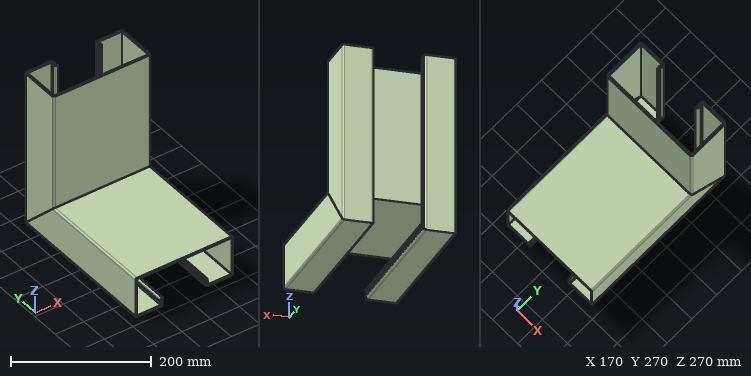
import math

import cadquery as cq

WIDTH = 170.0
DEPTH = 70.0
WALL = 2.5
CORNER_RADIUS = 3.0

ARM_REACH = 200.0
ARM_LENGTH = DEPTH + ARM_REACH

FLANGE_WIDTH = 47.0
LIP_WALL = 2.2
LIP_HEIGHT = 14.5
STEP_FRONT = 8.0
STEP_BACK = 7.0
LEG_LEAN = math.radians(7)
HOOK_REACH = 0.75
BEND_INNER = 0.8
BEND_OUTER = BEND_INNER + LIP_WALL
BEND_LEVEL = LIP_HEIGHT - BEND_OUTER

HALF_WIDTH = WIDTH / 2
SLOT_HALF = HALF_WIDTH - FLANGE_WIDTH


def leg_face(bend_radius, foot_level):
    """Foot and bend end of a leaning leg face that runs tangent into a bend centred above the slot face."""
    bend_end_x = SLOT_HALF + bend_radius * math.cos(LEG_LEAN)
    bend_end_z = BEND_LEVEL + bend_radius * math.sin(LEG_LEAN)
    foot_x = bend_end_x + (bend_end_z - foot_level) * math.tan(LEG_LEAN)
    return (foot_x, foot_level), (bend_end_x, bend_end_z)


def half_channel():
    """Bent-sheet section of the +X half of the channel, extruded along -Y."""
    inside = HALF_WIDTH - WALL
    web_back = SLOT_HALF + WALL
    hook_tip = SLOT_HALF - HOOK_REACH
    front_foot, front_bend = leg_face(BEND_INNER, STEP_FRONT)
    back_foot, back_bend = leg_face(BEND_OUTER, STEP_BACK)

    section = cq.Workplane("XZ").moveTo(0, DEPTH)
    section = (
        section
        .lineTo(HALF_WIDTH - CORNER_RADIUS, DEPTH)
        .radiusArc((HALF_WIDTH, DEPTH - CORNER_RADIUS), CORNER_RADIUS)
        .lineTo(HALF_WIDTH, CORNER_RADIUS)
        .radiusArc((HALF_WIDTH - CORNER_RADIUS, 0), CORNER_RADIUS)
        .lineTo(SLOT_HALF + CORNER_RADIUS, 0)
        .radiusArc((SLOT_HALF, CORNER_RADIUS), CORNER_RADIUS)
    )
    section = (
        section
        .lineTo(SLOT_HALF, STEP_FRONT)
        .lineTo(*front_foot)
        .lineTo(*front_bend)
        .radiusArc((SLOT_HALF, LIP_HEIGHT - LIP_WALL), -BEND_INNER)
        .lineTo(hook_tip, LIP_HEIGHT - LIP_WALL)
        .lineTo(hook_tip, LIP_HEIGHT)
        .lineTo(SLOT_HALF, LIP_HEIGHT)
        .radiusArc(back_bend, BEND_OUTER)
        .lineTo(*back_foot)
        .lineTo(web_back, STEP_BACK)
        .lineTo(web_back, WALL)
    )
    section = (
        section
        .lineTo(inside, WALL)
        .lineTo(inside, DEPTH - WALL)
        .lineTo(0, DEPTH - WALL)
        .close()
    )
    return section.extrude(ARM_LENGTH)


def mitre_envelope():
    """Side outline of one arm, cut at 45 degrees through the corner."""
    return (
        cq.Workplane("YZ")
        .polyline([(0, 0), (-DEPTH, DEPTH), (-ARM_LENGTH, DEPTH), (-ARM_LENGTH, 0)])
        .close()
        .extrude(HALF_WIDTH, both=True)
    )


def make_horizontal_arm():
    half = half_channel()
    channel = half.union(half.mirror("YZ")).clean()
    return channel.intersect(mitre_envelope())


def make_vertical_arm():
    """The horizontal arm reflected in the mitre plane."""
    return make_horizontal_arm().mirror(cq.Vector(0, 1, 1), (0, 0, 0))


horizontal_arm = make_horizontal_arm()
vertical_arm = make_vertical_arm()
result = cq.Compound.makeCompound([horizontal_arm.val(), vertical_arm.val()])